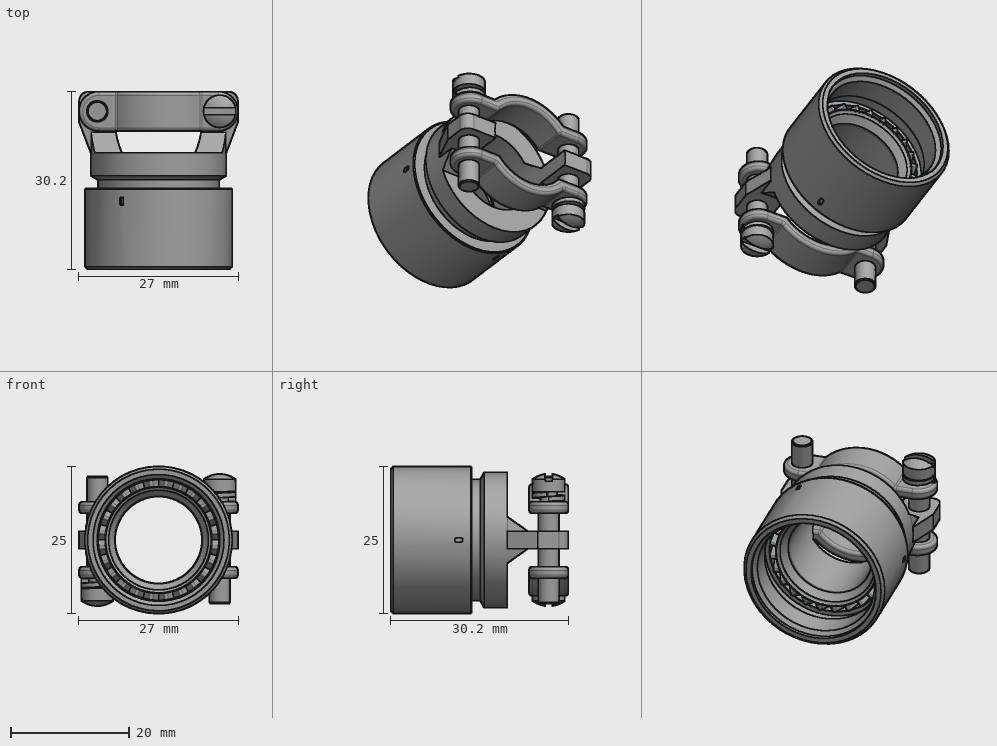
import cadquery as cq
import math


nut_radius = 12.5
nut_length = 13.75
nut_front_chamfer = 0.5
nut_rear_chamfer = 0.2
mouth_radius = 11.1
mouth_depth = 0.7
lip_radius = 10.4
lip_end = 5.5
undercut_radius = mouth_radius
shoulder_y = 7.9
wire_slot_length = 1.4
wire_slot_width = 0.7
wire_slot_depth = 0.5
wire_slot_y = 11.55
wire_slot_count = 3

bore_radius = 7.35
neck_radius = 10.3
neck_end = 15.2
flange_radius = 11.5
flange_chamfer_end = 15.85
flange_end = 19.8

rim_y = 7.5
sleeve_radius = 9.05
sleeve_rim_width = 0.1
rim_rounding = 0.5
entry_cone_mouth = sleeve_radius - sleeve_rim_width - rim_rounding
entry_cone_root = 7.42
entry_cone_end = 9.35
bore_start = 9.65

tooth_count = 24
tooth_ring_outer = 10.2
tooth_crest_y = rim_y
tooth_floor_y = 9.6
tooth_half_angle = 30
tooth_crest_radius = 0.35

overall_width = 26.95
overall_length = 30.15
arm_half_width = overall_width / 2
arm_half_thickness = 1.5
arm_taper_end = 24.95
arm_corner_radius = 1.65
gusset_half_height = 3.95
gusset_end = 23.25

saddle_width = 6.7
saddle_inner_z = 4.5
saddle_thickness = 2.0
saddle_outer_z = saddle_inner_z + saddle_thickness
saddle_y = overall_length - saddle_width / 2
saddle_edge_radius = 0.6
arch_outer_radius = 10.0
arch_inner_radius = arch_outer_radius - saddle_thickness
arch_center_z = -0.5
arch_blend_radius = 0.5

screw_x = 10.37
shaft_radius = 1.78
shaft_tip_z = 10.78
shaft_chamfer = 0.2
shank_radius = 1.42
head_radius = 2.75
head_base_z = 8.2
head_rim_z = 10.3
dome_top_z = 11.25
slot_width = 1.2
slot_floor_z = 9.95
washer_outer_radius = head_radius
washer_inner_radius = shank_radius - 0.1
washer_clearance = 0.05
washer_thickness = (head_base_z - saddle_outer_z) / 2 - washer_clearance
washer_turns = 0.98


def revolve_about_y(profile):
    """Turn a closed (radius, Y) profile around the coupling axis."""
    return profile.close().revolve(360, (0, 0, 0), (0, 1, 0))


def cylinder_along_y(radius, start, end):
    return cq.Workplane("XZ", origin=(0, start, 0)).circle(radius).extrude(start - end)


def make_nut():
    profile = (
        cq.Workplane("XY")
        .moveTo(mouth_radius, 0)
        .lineTo(nut_radius - nut_front_chamfer, 0)
        .lineTo(nut_radius, nut_front_chamfer)
        .lineTo(nut_radius, nut_length - nut_rear_chamfer)
        .lineTo(nut_radius - nut_rear_chamfer, nut_length)
        .lineTo(neck_radius, nut_length)
        .lineTo(neck_radius, shoulder_y)
        .lineTo(undercut_radius, shoulder_y)
        .lineTo(undercut_radius, lip_end)
        .lineTo(lip_radius, lip_end)
        .lineTo(lip_radius, mouth_depth + mouth_radius - lip_radius)
        .lineTo(mouth_radius, mouth_depth)
    )
    nut = revolve_about_y(profile)
    slot = (
        cq.Workplane("YZ", origin=(nut_radius - wire_slot_depth, wire_slot_y, 0))
        .slot2D(wire_slot_length, wire_slot_width)
        .extrude(2 * wire_slot_depth)
    )
    for index in range(wire_slot_count):
        angle = index * 360 / wire_slot_count
        nut = nut.cut(slot.rotate((0, 0, 0), (0, 1, 0), angle))
    return nut


def make_turned_body():
    """Housing body of revolution before boring, with an annular groove for the face teeth."""
    rim_inner = sleeve_radius - sleeve_rim_width
    profile = (
        cq.Workplane("XY")
        .moveTo(rim_inner, rim_y)
        .lineTo(sleeve_radius, rim_y)
        .lineTo(sleeve_radius, tooth_floor_y)
        .lineTo(tooth_ring_outer, tooth_floor_y)
        .lineTo(tooth_ring_outer, shoulder_y)
        .lineTo(neck_radius, shoulder_y)
        .lineTo(neck_radius, neck_end)
        .lineTo(flange_radius, flange_chamfer_end)
        .lineTo(flange_radius, flange_end)
        .lineTo(0, flange_end)
        .lineTo(0, bore_start)
        .lineTo(bore_radius, bore_start)
        .lineTo(entry_cone_root, entry_cone_end)
        .lineTo(entry_cone_mouth, rim_y + rim_rounding)
        .radiusArc((rim_inner, rim_y), rim_rounding)
    )
    return revolve_about_y(profile)


def make_teeth():
    """Ring of radial wedge teeth with rounded crests, pointing toward -Y."""
    half_angle = math.radians(tooth_half_angle)
    tangent_half_width = tooth_crest_radius * math.cos(half_angle)
    tangent_y = tooth_crest_y + tooth_crest_radius * (1 - math.sin(half_angle))
    floor_half_width = tangent_half_width + (tooth_floor_y - tangent_y) * math.tan(half_angle)
    tooth = (
        cq.Workplane("YZ")
        .moveTo(tooth_floor_y, -floor_half_width)
        .lineTo(tangent_y, -tangent_half_width)
        .threePointArc((tooth_crest_y, 0), (tangent_y, tangent_half_width))
        .lineTo(tooth_floor_y, floor_half_width)
        .close()
        .extrude(neck_radius)
    )
    ring = cylinder_along_y(tooth_ring_outer, tooth_crest_y, tooth_floor_y).cut(
        cylinder_along_y(sleeve_radius, tooth_crest_y, tooth_floor_y)
    )
    tooth = tooth.intersect(ring)
    pitch = 360 / tooth_count
    teeth = [tooth.rotate((0, 0, 0), (0, 1, 0), (index + 0.5) * pitch).val() for index in range(tooth_count)]
    return cq.Workplane(teeth[0].fuse(*teeth[1:]))


def make_arms():
    """Flat arm plate with its taper, rounded ends and screw holes."""
    plate = (
        cq.Workplane("XY", origin=(0, 0, -arm_half_thickness))
        .moveTo(-flange_radius, flange_end)
        .lineTo(flange_radius, flange_end)
        .lineTo(arm_half_width, arm_taper_end)
        .lineTo(arm_half_width, overall_length)
        .lineTo(-arm_half_width, overall_length)
        .lineTo(-arm_half_width, arm_taper_end)
        .close()
        .extrude(2 * arm_half_thickness)
        .edges("|Z and >Y")
        .fillet(arm_corner_radius)
    )
    holes = (
        cq.Workplane("XY", origin=(0, 0, -arm_half_thickness))
        .pushPoints([(-screw_x, saddle_y), (screw_x, saddle_y)])
        .circle(shaft_radius)
        .extrude(2 * arm_half_thickness)
    )
    return plate.cut(holes)


def make_gussets():
    """Wedges that carry the arms, bounded outside by the flange cylinder."""
    wedge = (
        cq.Workplane("YZ", origin=(-flange_radius, 0, 0))
        .moveTo(flange_end, -gusset_half_height)
        .lineTo(gusset_end, -arm_half_thickness)
        .lineTo(gusset_end, arm_half_thickness)
        .lineTo(flange_end, gusset_half_height)
        .close()
        .extrude(2 * flange_radius)
    )
    return wedge.intersect(cylinder_along_y(flange_radius, flange_end, gusset_end))


def make_housing():
    body = make_turned_body().union(make_arms()).union(make_gussets())
    body = body.cut(cylinder_along_y(bore_radius, bore_start, overall_length))
    return body.union(make_teeth())


def make_saddle():
    """Upper saddle: two flat ears joined by an arch, with rounded edges."""
    end_y = saddle_y + saddle_width / 2

    def ears_and_arch(ear_z, arch_radius):
        """Everything under the ear plane or inside the arch, blended where they meet."""
        ears = cq.Workplane("XY", origin=(0, saddle_y, 0)).box(
            overall_width, saddle_width, ear_z, centered=(True, True, False)
        )
        arch = (
            cq.Workplane("XZ", origin=(0, end_y, arch_center_z))
            .moveTo(-arch_radius, 0)
            .threePointArc((0, arch_radius), (arch_radius, 0))
            .close()
            .extrude(saddle_width)
        )
        arch_half_width = math.sqrt(arch_radius**2 - (ear_z - arch_center_z) ** 2)
        solid = ears.union(arch)
        corners = cq.selectors.BoxSelector(
            (-arch_half_width - 0.1, 0, ear_z - 0.1), (arch_half_width + 0.1, overall_length, ear_z + 0.1)
        )
        return solid.edges("|Y").edges(corners).fillet(arch_blend_radius)

    strip = ears_and_arch(saddle_outer_z, arch_outer_radius).cut(
        ears_and_arch(saddle_inner_z, arch_inner_radius)
    )
    outline = (
        cq.Workplane("XY", origin=(0, saddle_y, 0)).slot2D(overall_width, saddle_width).extrude(dome_top_z)
    )
    saddle = strip.intersect(outline)
    return saddle.edges("not(|Y or |Z)").fillet(saddle_edge_radius)


def make_lock_washer():
    """Split ring that climbs almost one thickness, from just above the saddle to just below the head."""
    mean_radius = (washer_outer_radius + washer_inner_radius) / 2
    path = cq.Wire.makeHelix(washer_thickness, washer_turns * washer_thickness, mean_radius)
    washer = (
        cq.Workplane("XZ", origin=(mean_radius, 0, 0))
        .rect(washer_outer_radius - washer_inner_radius, washer_thickness)
        .sweep(cq.Workplane(path), isFrenet=True)
    )
    return washer.translate((0, 0, saddle_outer_z + washer_clearance + washer_thickness / 2))


def make_screw():
    """Slotted screw on the Z axis with its head on top and a lock washer under the head."""
    dome_rise = dome_top_z - head_rim_z
    dome_radius = (head_radius**2 + dome_rise**2) / (2 * dome_rise)
    turned = (
        cq.Workplane("XZ")
        .moveTo(0, -shaft_tip_z)
        .lineTo(shaft_radius - shaft_chamfer, -shaft_tip_z)
        .lineTo(shaft_radius, shaft_chamfer - shaft_tip_z)
        .lineTo(shaft_radius, saddle_outer_z)
        .lineTo(shank_radius, saddle_outer_z)
        .lineTo(shank_radius, head_base_z)
        .lineTo(head_radius, head_base_z)
        .lineTo(head_radius, head_rim_z)
        .radiusArc((0, dome_top_z), -dome_radius)
        .close()
        .revolve(360, (0, 0, 0), (0, 1, 0))
    )
    slot = cq.Workplane("XY", origin=(0, 0, slot_floor_z)).rect(2 * head_radius, slot_width).extrude(dome_top_z)
    return turned.cut(slot).union(make_lock_washer())


def make_clamp():
    """Two saddles tied together by two screws; each half is the other turned about the Y axis."""
    half = make_saddle().union(make_screw().translate((screw_x, saddle_y, 0)))
    return half.union(half.rotate((0, 0, 0), (0, 1, 0), 180))


nut = make_nut()
housing = make_housing()
clamp = make_clamp()

result = cq.Compound.makeCompound([housing.val(), nut.val(), clamp.val()])